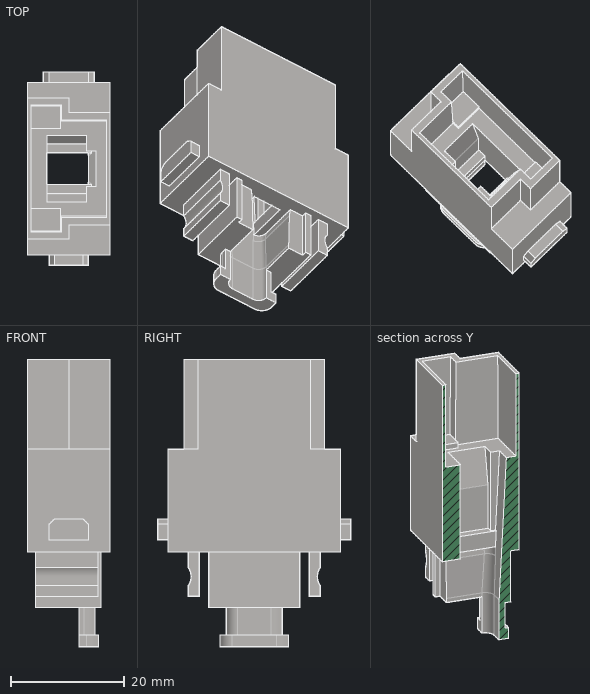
import cadquery as cq
import math


BODY_X = 14.6
BODY_Y = 30.45
BODY_HEIGHT = 18.15
SHROUD_HEIGHT = 15.8
SHROUD_WIDE_Y = 24.85
SHROUD_NARROW_Y = 19.85
SHROUD_STEP_X = 0.0

CAVITY_X = 13.3
CAVITY_WIDE_Y = 22.4
CAVITY_NARROW_Y = 17.2
CAVITY_STEP_X = -1.25
CAVITY_DRAFT = 0.2
PAD_INNER_Y = 7.05
PAD_HEIGHT = 1.0

WINDOW_MIN_X = -3.85
WINDOW_MAX_X = 3.15
FUNNEL_TOP_Y = 11.75
FUNNEL_BOTTOM_Y = 8.9
FUNNEL_ANGLE = 11.8
KEY_Y = 6.3
LEDGE_Z = 3.05
LEDGE_Y = 8.7
LEDGE_GAP_Y = 5.6

TAB_REACH = 1.8
TAB_BOTTOM_Z = 2.15
TAB_TOP_Z = 5.85
TAB_CHAMFER_Z = 0.9
FRONT_TAB_X = 6.9
FRONT_TAB_CHAMFER_X = 0.9
BACK_TAB_X = 9.0
BACK_TAB_CHAMFER_X = 1.05

ARM_MIN_X = -5.9
ARM_MAX_X = 5.1
ARM_INNER_Y = 9.7
ARM_OUTER_Y = 11.65
ARM_LENGTH = 7.8
ARM_NOTCH_TOP_Z = -2.75
ARM_NOTCH_BOTTOM_Z = -5.95
ARM_NOTCH_DEPTH = 0.5

SKIRT_MIN_X = -4.95
SKIRT_MAX_X = 5.75
SKIRT_Y = 16.1
SKIRT_LENGTH = 9.8
RAIL_MIN_X = ARM_MIN_X
RAIL_WIDTH = 1.1

TONGUE_MIN_X = 1.75
TONGUE_BOTTOM_Z = -16.75
STEM_MAX_X = 4.65
STEM_Y = 9.95
STEM_RADIUS = 2.0
FOOT_MAX_X = 5.25
FOOT_Y = 12.1
FOOT_RADIUS = 2.15
FOOT_HEIGHT = 2.15

TAPER_START_Z = -8.95
TAPER_BREAK_Z = -1.6
CHANNEL_BACK_BOTTOM_X = 3.45
CHANNEL_BACK_TOP_X = 4.8
CHANNEL_HALF_Y = 3.9
CHANNEL_FLAT_HALF_Y = 2.25
BREAK_HALF_Y = 4.05
BREAK_FLAT_HALF_Y = 2.55
MOUTH_HALF_Y = 4.25
MOUTH_FLAT_HALF_Y = 2.7

OVERLAP = 0.5


def block(x0, x1, y0, y1, z0, z1):
    """Axis-aligned box between two opposite corners."""
    return cq.Workplane("XY").box(x1 - x0, y1 - y0, z1 - z0, centered=False).translate((x0, y0, z0))


def symmetric_block(x0, x1, width_y, z0, z1):
    """Box centred on Y = 0."""
    return block(x0, x1, -width_y / 2, width_y / 2, z0, z1)


def with_mirror(shape):
    """The shape together with its mirror image about Y = 0."""
    return shape.union(shape.mirror("XZ"))


def stepped_outline(x0, step_x, x1, wide_y, narrow_y):
    """Corners of a T-like outline that is wide up to step_x and narrow beyond it."""
    half = [(x0, wide_y / 2), (step_x, wide_y / 2), (step_x, narrow_y / 2), (x1, narrow_y / 2)]
    return half + [(x, -y) for x, y in reversed(half)]


def channel_back_x(z):
    """X position of the sloping back wall shared by the channel and the window key."""
    rise = (z - TAPER_START_Z) / (BODY_HEIGHT - TAPER_START_Z)
    return CHANNEL_BACK_BOTTOM_X + rise * (CHANNEL_BACK_TOP_X - CHANNEL_BACK_BOTTOM_X)


def make_body():
    body = symmetric_block(-BODY_X / 2, BODY_X / 2, BODY_Y, 0, BODY_HEIGHT)
    outline = stepped_outline(
        -BODY_X / 2, SHROUD_STEP_X, BODY_X / 2, SHROUD_WIDE_Y, SHROUD_NARROW_Y
    )
    shroud = cq.Workplane("XY").workplane(offset=BODY_HEIGHT).polyline(outline).close()
    return body.union(shroud.extrude(SHROUD_HEIGHT))


def make_cavity():
    half_x = CAVITY_X / 2
    top = stepped_outline(-half_x, CAVITY_STEP_X, half_x, CAVITY_WIDE_Y, CAVITY_NARROW_Y)
    base_step_x = CAVITY_STEP_X - CAVITY_DRAFT
    base_wide_y = CAVITY_WIDE_Y - 2 * CAVITY_DRAFT
    base_narrow_y = CAVITY_NARROW_Y - 2 * CAVITY_DRAFT
    base = stepped_outline(-half_x, base_step_x, half_x, base_wide_y, base_narrow_y)
    cavity = (
        cq.Workplane("XY").workplane(offset=BODY_HEIGHT).polyline(base).close()
        .workplane(offset=SHROUD_HEIGHT).polyline(top).close()
        .loft(ruled=True)
    )
    pad = block(-half_x, base_step_x, PAD_INNER_Y, CAVITY_WIDE_Y / 2, BODY_HEIGHT, BODY_HEIGHT + PAD_HEIGHT)
    return cavity.cut(with_mirror(pad))


def make_window():
    funnel_depth = (FUNNEL_TOP_Y - FUNNEL_BOTTOM_Y) / 2 / math.tan(math.radians(FUNNEL_ANGLE))
    half_outline = [
        (LEDGE_Y / 2, LEDGE_Z),
        (FUNNEL_BOTTOM_Y / 2, BODY_HEIGHT - funnel_depth),
        (FUNNEL_TOP_Y / 2, BODY_HEIGHT),
    ]
    funnel_outline = half_outline + [(-y, z) for y, z in reversed(half_outline)]
    funnel = (
        cq.Workplane("YZ").workplane(offset=WINDOW_MIN_X).polyline(funnel_outline).close()
        .extrude(WINDOW_MAX_X - WINDOW_MIN_X)
    )

    def sloped_slot(width_y, z0, z1):
        """Slot whose far wall is the sloping back wall."""
        outline = [
            (WINDOW_MIN_X, z0),
            (channel_back_x(z0), z0),
            (channel_back_x(z1), z1),
            (WINDOW_MIN_X, z1),
        ]
        return cq.Workplane("XZ").polyline(outline).close().extrude(width_y / 2, both=True)

    key = sloped_slot(KEY_Y, LEDGE_Z, BODY_HEIGHT)
    gap = sloped_slot(LEDGE_GAP_Y, 0, LEDGE_Z)
    return funnel.union(key).union(gap)


def make_tab(width_x, chamfer_x, side):
    """Tab with chamfered upper corners; side is +1 or -1 along Y."""
    half = width_x / 2
    outline = [
        (-half, TAB_BOTTOM_Z),
        (half, TAB_BOTTOM_Z),
        (half, TAB_TOP_Z - TAB_CHAMFER_Z),
        (half - chamfer_x, TAB_TOP_Z),
        (chamfer_x - half, TAB_TOP_Z),
        (-half, TAB_TOP_Z - TAB_CHAMFER_Z),
    ]
    wall = cq.Workplane("XZ", origin=(0, side * BODY_Y / 2, 0))
    return wall.polyline(outline).close().extrude(-side * TAB_REACH)


def make_arms():
    notch_mid_z = (ARM_NOTCH_TOP_Z + ARM_NOTCH_BOTTOM_Z) / 2
    arm = (
        cq.Workplane("YZ").workplane(offset=ARM_MIN_X)
        .moveTo(ARM_INNER_Y, OVERLAP)
        .lineTo(ARM_OUTER_Y, OVERLAP)
        .lineTo(ARM_OUTER_Y, ARM_NOTCH_TOP_Z)
        .threePointArc((ARM_OUTER_Y - ARM_NOTCH_DEPTH, notch_mid_z), (ARM_OUTER_Y, ARM_NOTCH_BOTTOM_Z))
        .lineTo(ARM_OUTER_Y, -ARM_LENGTH)
        .lineTo(ARM_INNER_Y, -ARM_LENGTH)
        .close()
        .extrude(ARM_MAX_X - ARM_MIN_X)
    )
    return with_mirror(arm)


def make_skirt():
    skirt = symmetric_block(SKIRT_MIN_X, SKIRT_MAX_X, SKIRT_Y, -SKIRT_LENGTH, OVERLAP)
    rail = block(
        RAIL_MIN_X, SKIRT_MIN_X + OVERLAP, SKIRT_Y / 2 - RAIL_WIDTH, SKIRT_Y / 2, -SKIRT_LENGTH, OVERLAP
    )
    return skirt.union(with_mirror(rail))


def make_tongue():
    def rounded_plate(max_x, width_y, radius, z0, z1):
        plate = symmetric_block(TONGUE_MIN_X, max_x, width_y, z0, z1)
        return plate.edges("|Z and >X").fillet(radius)

    foot_top_z = TONGUE_BOTTOM_Z + FOOT_HEIGHT
    stem = rounded_plate(STEM_MAX_X, STEM_Y, STEM_RADIUS, TONGUE_BOTTOM_Z, -SKIRT_LENGTH + OVERLAP)
    foot = rounded_plate(FOOT_MAX_X, FOOT_Y, FOOT_RADIUS, TONGUE_BOTTOM_Z, foot_top_z)
    return stem.union(foot)


def channel_section(z, half_y, flat_half_y):
    """Closed wire of the channel at height z: open to -X, rounded into its back wall."""
    back_x = channel_back_x(max(z, TAPER_START_Z))
    front_x = RAIL_MIN_X - OVERLAP
    radius = half_y - flat_half_y
    side_x = back_x - radius
    diagonal = radius * math.sqrt(0.5)
    return (
        cq.Workplane("XY").workplane(offset=z)
        .moveTo(front_x, -half_y)
        .lineTo(side_x, -half_y)
        .threePointArc((side_x + diagonal, -flat_half_y - diagonal), (back_x, -flat_half_y))
        .lineTo(back_x, flat_half_y)
        .threePointArc((side_x + diagonal, flat_half_y + diagonal), (side_x, half_y))
        .lineTo(front_x, half_y)
        .close()
        .val()
    )


def make_channel():
    sections = [
        channel_section(TONGUE_BOTTOM_Z, CHANNEL_HALF_Y, CHANNEL_FLAT_HALF_Y),
        channel_section(TAPER_START_Z, CHANNEL_HALF_Y, CHANNEL_FLAT_HALF_Y),
        channel_section(TAPER_BREAK_Z, BREAK_HALF_Y, BREAK_FLAT_HALF_Y),
        channel_section(0, MOUTH_HALF_Y, MOUTH_FLAT_HALF_Y),
    ]
    return cq.Workplane("XY").add(cq.Solid.makeLoft(sections, True))


result = (
    make_body()
    .union(make_arms())
    .union(make_skirt())
    .union(make_tongue())
    .union(make_tab(FRONT_TAB_X, FRONT_TAB_CHAMFER_X, -1))
    .union(make_tab(BACK_TAB_X, BACK_TAB_CHAMFER_X, 1))
    .cut(make_cavity())
    .cut(make_window())
    .cut(make_channel())
)